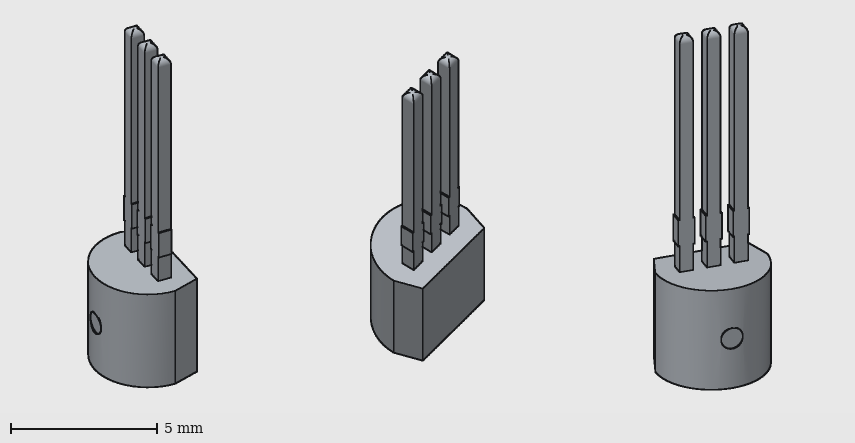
import cadquery as cq

body_width = 4.08
body_radius = body_width / 2
body_height = 3.81
body_depth = 3.05
back_distance = body_depth - body_radius
back_width = 3.43

mark_diameter = 0.8
mark_depth = 0.05

total_height = 12.8
lead_count = 3
lead_pitch = 1.0
lead_size = 0.5
tip_radius = 0.23

shoulder_width = 0.6
shoulder_height = 1.0
shoulder_gap = 1.0


def make_body():
    return (
        cq.Workplane("XY")
        .moveTo(-body_radius, 0)
        .threePointArc((0, -body_radius), (body_radius, 0))
        .lineTo(back_width / 2, back_distance)
        .lineTo(-back_width / 2, back_distance)
        .close()
        .extrude(body_height)
    )


def make_mark():
    return (
        cq.Workplane("XZ", origin=(0, -body_radius + mark_depth, body_height / 2))
        .circle(mark_diameter / 2)
        .extrude(body_radius)
    )


def make_lead(x):
    """Square lead with rounded tip edges and a shoulder that widens it along X."""
    lead = (
        cq.Workplane("XY", origin=(x, 0, body_height))
        .rect(lead_size, lead_size)
        .extrude(total_height - body_height)
        .faces(">Z")
        .edges()
        .fillet(tip_radius)
    )
    shoulder = (
        cq.Workplane("XY", origin=(x, 0, body_height + shoulder_gap))
        .rect(shoulder_width, lead_size)
        .extrude(shoulder_height)
    )
    return lead.union(shoulder)


result = make_body().cut(make_mark())
for index in range(lead_count):
    lead_x = (index - (lead_count - 1) / 2) * lead_pitch
    result = result.union(make_lead(lead_x))